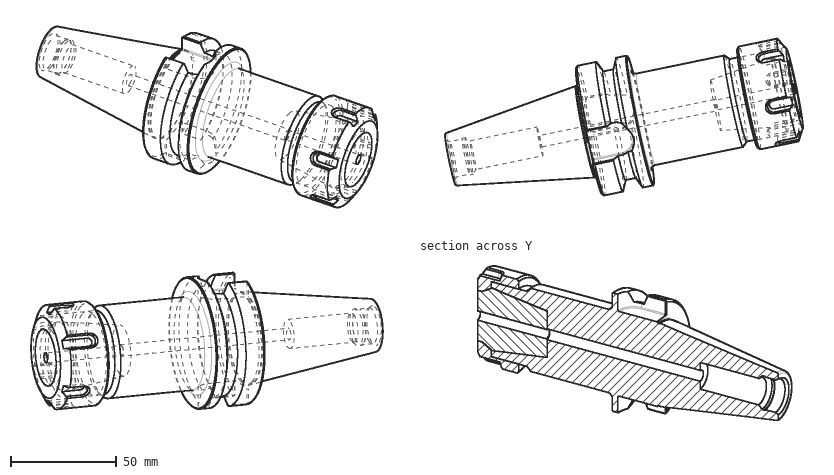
import cadquery as cq
import math

TAN_30 = math.tan(math.radians(30))
TAN_60 = math.tan(math.radians(60))

total_length = 167.0
taper_length = 65.5
taper_large_radius = 22.2
taper_rate = 7 / 24 / 2
shank_face_radius = 23.5 / 2
shank_fillet = 1.0
relief_radius = 44.0 / 2
relief_start = 65.8
relief_fillet = 0.7

flange_radius = 63.0 / 2
flange_start = 67.3
flange_end = 92.4
flange_front_chamfer = 1.0
flange_rear_chamfer = 0.5
groove_center = 82.2
groove_bottom_radius = 26.4
groove_bottom_half_width = 2.5
groove_top_half_width = 4.8
drive_slot_half_width = 8.2
drive_slot_floor = 22.5
drive_slot_arc_x = 80.8
drive_slot_fillet = 0.5
drive_slot_chamfer = 0.5

neck_radius = 44.5 / 2
neck_fillet = 2.5
neck_end = 139.6
nose_radius = 40.0 / 2
nose_chamfer = neck_radius - nose_radius
nose_end = 159.5

entry_radius = 18.9 / 2
pilot_radius = 17.0 / 2
undercut_radius = 17.7 / 2
undercut_start = 7.5
undercut_end = 9.0
thread_bore_radius = 13.9 / 2
thread_bore_depth = 43.5
coolant_radius = 5.5 / 2

seat_start = 128.6
seat_mouth_radius = 16.5
seat_angle = 8.0
collet_front_radius = 27.0 / 2
collet_bore_radius = 4.7 / 2
seat_small_radius = seat_mouth_radius - (nose_end - seat_start) * math.tan(math.radians(seat_angle))
collet_shoulder_end = nose_end + (seat_mouth_radius - collet_front_radius) / TAN_30

nut_start = 144.1
nut_radius = 50.0 / 2
nut_rear_chamfer = 1.0
nut_face_radius = 38.5 / 2
nut_cone_start = total_length - (nut_radius - nut_face_radius) / TAN_60

slot_count = 6
slot_floor = 21.5
slot_floor_half_width = 2.0
slot_wall_draft = 20.0
slot_mouth_start = 24.0
slot_mouth_draft = 45.0
slot_mouth_half_width = (
    slot_floor_half_width
    + (slot_mouth_start - slot_floor) * math.tan(math.radians(slot_wall_draft))
)
slot_arc_x = 156.8
long_slot_arc_x = 152.8
long_slot_index = 1
slot_clearance = 3.3


def revolve_profile(points):
    """Solid of revolution about X from (x, radius) points."""
    return cq.Workplane("XY").polyline(points).close().revolve(360, (0, 0, 0), (1, 0, 0))


def round_ended_outline(height, arc_x, open_x, half_width):
    """Slot outline on the plane Z = height: a half-round end at one side, square at open_x."""
    end_offset = math.copysign(half_width, arc_x - open_x)
    return (
        cq.Workplane("XY", origin=(0, 0, height))
        .moveTo(open_x, -half_width)
        .lineTo(arc_x, -half_width)
        .threePointArc((arc_x + end_offset, 0), (arc_x, half_width))
        .lineTo(open_x, half_width)
        .close()
    )


def make_holder_blank():
    shank_edge_radius = taper_large_radius - (taper_length - shank_fillet) * taper_rate
    outline = (
        cq.Workplane("XY")
        .moveTo(0, 0)
        .lineTo(0, shank_face_radius)
        .radiusArc((shank_fillet, shank_edge_radius), shank_fillet)
        .lineTo(taper_length, taper_large_radius)
        .lineTo(relief_start, relief_radius)
        .lineTo(flange_start - relief_fillet, relief_radius)
        .radiusArc((flange_start, relief_radius + relief_fillet), -relief_fillet)
        .lineTo(flange_start, flange_radius - flange_front_chamfer)
        .lineTo(flange_start + flange_front_chamfer, flange_radius)
        .lineTo(groove_center - groove_top_half_width, flange_radius)
        .lineTo(groove_center - groove_bottom_half_width, groove_bottom_radius)
        .lineTo(groove_center + groove_bottom_half_width, groove_bottom_radius)
        .lineTo(groove_center + groove_top_half_width, flange_radius)
        .lineTo(flange_end - flange_rear_chamfer, flange_radius)
        .lineTo(flange_end, flange_radius - flange_rear_chamfer)
        .lineTo(flange_end, neck_radius + neck_fillet)
        .radiusArc((flange_end + neck_fillet, neck_radius), -neck_fillet)
        .lineTo(neck_end - nose_chamfer, neck_radius)
        .lineTo(neck_end, nose_radius)
        .lineTo(nose_end, nose_radius)
        .lineTo(nose_end, 0)
        .close()
    )
    return outline.revolve(360, (0, 0, 0), (1, 0, 0))


def make_holder_bore():
    entry_depth = (entry_radius - pilot_radius) / TAN_30
    cone_depth = undercut_radius - thread_bore_radius
    return revolve_profile([
        (0, 0),
        (0, entry_radius),
        (entry_depth, pilot_radius),
        (undercut_start, pilot_radius),
        (undercut_start, undercut_radius),
        (undercut_end, undercut_radius),
        (undercut_end + cone_depth, thread_bore_radius),
        (thread_bore_depth, thread_bore_radius),
        (thread_bore_depth, coolant_radius),
        (seat_start, coolant_radius),
        (seat_start, seat_small_radius),
        (nose_end, seat_mouth_radius),
        (nose_end, 0),
    ])


def make_drive_slot():
    """Cutter for the drive slot on the +Z side, with the front and outer edges of its walls chamfered."""
    half_width = drive_slot_half_width
    wide = half_width + drive_slot_chamfer
    height = flange_radius - drive_slot_floor
    channel = round_ended_outline(drive_slot_floor, drive_slot_arc_x, relief_start, half_width)
    channel = channel.extrude(height).faces("<Z").edges("not <X").fillet(drive_slot_fillet)
    front_flare = (
        cq.Workplane("XY", origin=(0, 0, drive_slot_floor))
        .polyline([
            (flange_start, -wide),
            (flange_start, wide),
            (flange_start + drive_slot_chamfer, half_width),
            (flange_start + drive_slot_chamfer, -half_width),
        ])
        .close()
        .extrude(height)
    )
    rim_height = math.sqrt(flange_radius**2 - wide**2)
    outer_flare = (
        cq.Workplane("YZ", origin=(flange_start, 0, 0))
        .polyline([
            (-half_width, rim_height - drive_slot_chamfer),
            (half_width, rim_height - drive_slot_chamfer),
            (wide, rim_height),
            (wide, flange_radius),
            (-wide, flange_radius),
            (-wide, rim_height),
        ])
        .close()
        .extrude(groove_center - flange_start)
    )
    return channel.union(front_flare).union(outer_flare)


def make_holder():
    body = make_holder_blank().cut(make_holder_bore())
    for angle in (0, 180):
        body = body.cut(make_drive_slot().rotate((0, 0, 0), (1, 0, 0), angle))
    return body


def make_collet():
    return revolve_profile([
        (seat_start, collet_bore_radius),
        (seat_start, seat_small_radius),
        (nose_end, seat_mouth_radius),
        (collet_shoulder_end, collet_front_radius),
        (total_length, collet_front_radius),
        (total_length, collet_bore_radius),
    ])


def make_nut_blank():
    return revolve_profile([
        (nut_start, nose_radius),
        (nut_start, nut_radius - nut_rear_chamfer),
        (nut_start + nut_rear_chamfer, nut_radius),
        (nut_cone_start, nut_radius),
        (total_length, nut_face_radius),
        (total_length, collet_front_radius),
        (collet_shoulder_end, collet_front_radius),
        (nose_end, seat_mouth_radius),
        (nose_end, nose_radius),
    ])


def make_wrench_slot(arc_x):
    """Cutter for a round-ended slot on the +Z side, with leaning walls and a flared mouth."""
    open_x = total_length + slot_clearance
    top = nut_radius + slot_clearance
    channel = round_ended_outline(slot_floor, arc_x, open_x, slot_floor_half_width)
    channel = channel.extrude(top - slot_floor, taper=-slot_wall_draft)
    mouth = round_ended_outline(slot_mouth_start, arc_x, open_x, slot_mouth_half_width)
    return channel.union(mouth.extrude(top - slot_mouth_start, taper=-slot_mouth_draft))


def make_nut():
    body = make_nut_blank()
    for index in range(slot_count):
        arc_x = long_slot_arc_x if index == long_slot_index else slot_arc_x
        turn = -index * 360 / slot_count
        body = body.cut(make_wrench_slot(arc_x).rotate((0, 0, 0), (1, 0, 0), turn))
    return body


holder = make_holder()
collet = make_collet()
nut = make_nut()

result = cq.Compound.makeCompound([holder.val(), collet.val(), nut.val()])